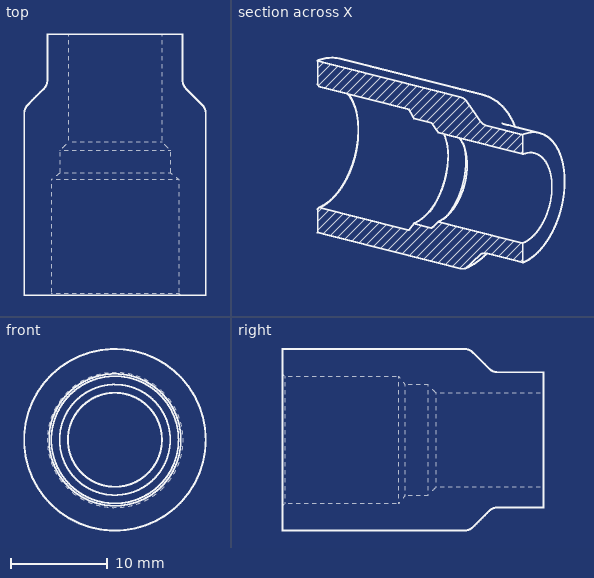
import cadquery as cq
import math

total_length = 27.0
stub_length = 4.76

body_radius = 9.4
stub_radius = 7.0
blend_radius = 1.25
outer_cone_angle = math.radians(45)

mouth_radius = 6.82
mouth_chamfer_depth = 0.24
socket_radius = 6.58
socket_depth = 12.0
pilot_radius = 5.72
pilot_depth = 15.0
through_radius = 4.85
shoulder_angle = math.radians(52)
pilot_tip_angle = math.radians(45)


def revolve_about_y(profile):
    """Revolve a closed profile, drawn as (radius, Y), about the Y axis."""
    return profile.close().revolve(360, (0, 0, 0), (0, 1, 0))


def outer_body():
    """Large cylinder and small stub joined by a cone with rounded ends."""
    blend_tangent = blend_radius * math.tan(outer_cone_angle / 2)
    cone_length = (body_radius - stub_radius) / math.tan(outer_cone_angle)
    cone_end_y = total_length - stub_length - blend_tangent
    cone_start_y = cone_end_y - cone_length

    def along_cone(corner_radius, corner_y, distance):
        """Point on the cone, counted from a corner toward the stub."""
        return (
            corner_radius - distance * math.sin(outer_cone_angle),
            corner_y + distance * math.cos(outer_cone_angle),
        )

    blend_sag = blend_radius * (1 - math.cos(outer_cone_angle / 2))
    blend_half_run = blend_radius * math.sin(outer_cone_angle / 2)
    convex_start = (body_radius, cone_start_y - blend_tangent)
    convex_mid = (body_radius - blend_sag, convex_start[1] + blend_half_run)
    convex_end = along_cone(body_radius, cone_start_y, blend_tangent)
    concave_start = along_cone(stub_radius, cone_end_y, -blend_tangent)
    concave_end = (stub_radius, cone_end_y + blend_tangent)
    concave_mid = (stub_radius + blend_sag, concave_end[1] - blend_half_run)
    profile = (
        cq.Workplane("XY")
        .lineTo(body_radius, 0)
        .lineTo(*convex_start)
        .threePointArc(convex_mid, convex_end)
        .lineTo(*concave_start)
        .threePointArc(concave_mid, concave_end)
        .lineTo(stub_radius, total_length)
        .lineTo(0, total_length)
    )
    return revolve_about_y(profile)


def stepped_bore():
    """Chamfered socket, pilot bore and through hole, with conical shoulders."""
    shoulder_length = (socket_radius - pilot_radius) / math.tan(shoulder_angle)
    pilot_tip_length = (pilot_radius - through_radius) / math.tan(pilot_tip_angle)
    profile = (
        cq.Workplane("XY")
        .lineTo(mouth_radius, 0)
        .lineTo(socket_radius, mouth_chamfer_depth)
        .lineTo(socket_radius, socket_depth)
        .lineTo(pilot_radius, socket_depth + shoulder_length)
        .lineTo(pilot_radius, pilot_depth)
        .lineTo(through_radius, pilot_depth + pilot_tip_length)
        .lineTo(through_radius, total_length)
        .lineTo(0, total_length)
    )
    return revolve_about_y(profile)


body = outer_body().cut(stepped_bore())
result = body.translate((0, -total_length / 2, 0))